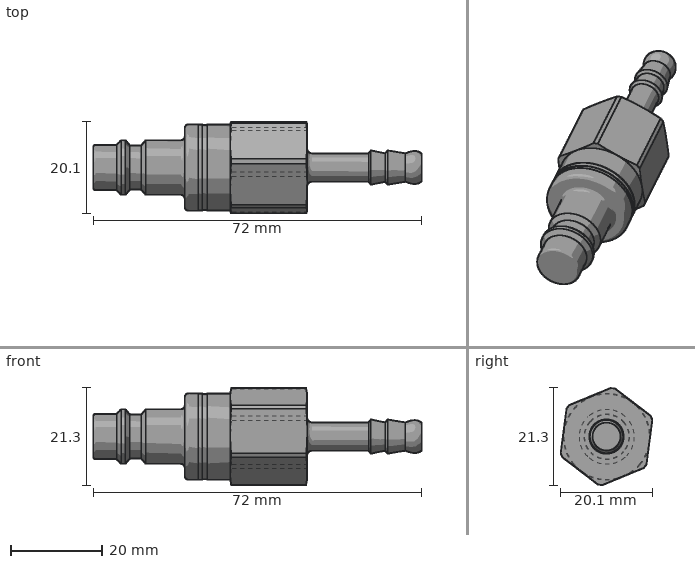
import cadquery as cq
import math

ring_start, ring_crest_start, ring_crest_end, ring_end = 5.1, 6.1, 7.05, 8.1
body_cone_start, body_start = 10.5, 11.5
collar_start = 20.0
band_start, groove_start, groove_end = 23.05, 23.9, 25.0
hex_start, hex_end = 30.0, 46.9
barb_starts = (60.3, 64.0)
bulb_start, bulb_crest, length = 68.4, 70.1, 72.0

nose_d, neck_d, body_d = 9.9, 9.7, 12.0
collar_d, band_d, groove_d = 19.0, 18.9, 18.7
tube_d, barb_d, bulb_d, end_d = 6.3, 7.55, 7.3, 6.1

nose_radius = 0.5
body_root_radius = 0.8
collar_radius = 0.9
tube_root_radius = 1.1
barb_rise = 0.5
bulb_shoulder_length = 0.65
bulb_shoulder_drop = 0.25

hex_flats = 19.0
hex_corner_d = 21.4
hex_tilt = 7.5
hex_chamfer_length = 0.2

ARC_MID = math.sqrt(0.5)


def convex_round(profile, x, outer_r, radius):
    """Go from a face at x onto a cylinder of radius outer_r, rounding the edge."""
    middle = (x + radius * (1 - ARC_MID), outer_r - radius * (1 - ARC_MID))
    return profile.lineTo(x, outer_r - radius).threePointArc(middle, (x + radius, outer_r))


def turned_plug():
    """Nose, locking ring, body and collar, up to the hexagon."""
    body_r = body_d / 2
    profile = cq.Workplane("XY").moveTo(0, 0)
    profile = convex_round(profile, 0, nose_d / 2, nose_radius)
    profile = (
        profile.lineTo(ring_start, nose_d / 2)
        .lineTo(ring_crest_start, body_r)
        .lineTo(ring_crest_end, body_r)
        .lineTo(ring_end, neck_d / 2)
        .lineTo(body_cone_start, neck_d / 2)
        .lineTo(body_start, body_r)
        .lineTo(collar_start - body_root_radius, body_r)
        .threePointArc(
            (
                collar_start - body_root_radius * (1 - ARC_MID),
                body_r + body_root_radius * (1 - ARC_MID),
            ),
            (collar_start, body_r + body_root_radius),
        )
    )
    profile = convex_round(profile, collar_start, collar_d / 2, collar_radius)
    profile = (
        profile.lineTo(band_start, collar_d / 2)
        .lineTo(band_start, band_d / 2)
        .lineTo(groove_start, band_d / 2)
        .lineTo(groove_start, groove_d / 2)
        .lineTo(groove_end, groove_d / 2)
        .lineTo(groove_end, band_d / 2)
        .lineTo(hex_start, band_d / 2)
        .lineTo(hex_start, 0)
        .close()
    )
    return profile.revolve(360, (0, 0, 0), (1, 0, 0))


def hexagon():
    """Tilted hexagonal grip, trimmed by a cylinder with chamfered ends."""
    prism = (
        cq.Workplane("YZ", origin=(hex_start, 0, 0))
        .polygon(6, hex_flats, circumscribed=True)
        .extrude(hex_end - hex_start)
        .rotate((0, 0, 0), (1, 0, 0), -hex_tilt)
    )
    envelope = (
        cq.Workplane("XY")
        .moveTo(hex_start, 0)
        .lineTo(hex_start, hex_flats / 2)
        .lineTo(hex_start + hex_chamfer_length, hex_corner_d / 2)
        .lineTo(hex_end - hex_chamfer_length, hex_corner_d / 2)
        .lineTo(hex_end, hex_flats / 2)
        .lineTo(hex_end, 0)
        .close()
        .revolve(360, (0, 0, 0), (1, 0, 0))
    )
    return prism.intersect(envelope)


def hose_tail():
    """Tube with a rounded root, two tapered barbs and a rounded end bulb."""
    tube_r = tube_d / 2
    profile = (
        cq.Workplane("XY")
        .moveTo(hex_end, 0)
        .lineTo(hex_end, tube_r + tube_root_radius)
        .threePointArc(
            (
                hex_end + tube_root_radius * (1 - ARC_MID),
                tube_r + tube_root_radius * (1 - ARC_MID),
            ),
            (hex_end + tube_root_radius, tube_r),
        )
    )
    profile = profile.lineTo(barb_starts[0], tube_r)
    for start, end in zip(barb_starts, (barb_starts[1], bulb_start)):
        profile = (
            profile.lineTo(start + barb_rise, barb_d / 2)
            .lineTo(end, tube_r)
        )
    profile = (
        profile.spline(
            [
                (bulb_start + bulb_shoulder_length, bulb_d / 2 - bulb_shoulder_drop),
                (bulb_crest, bulb_d / 2),
                (length, end_d / 2),
            ],
            includeCurrent=True,
        )
        .lineTo(length, 0)
        .close()
    )
    return profile.revolve(360, (0, 0, 0), (1, 0, 0))


result = turned_plug().union(hexagon()).union(hose_tail())